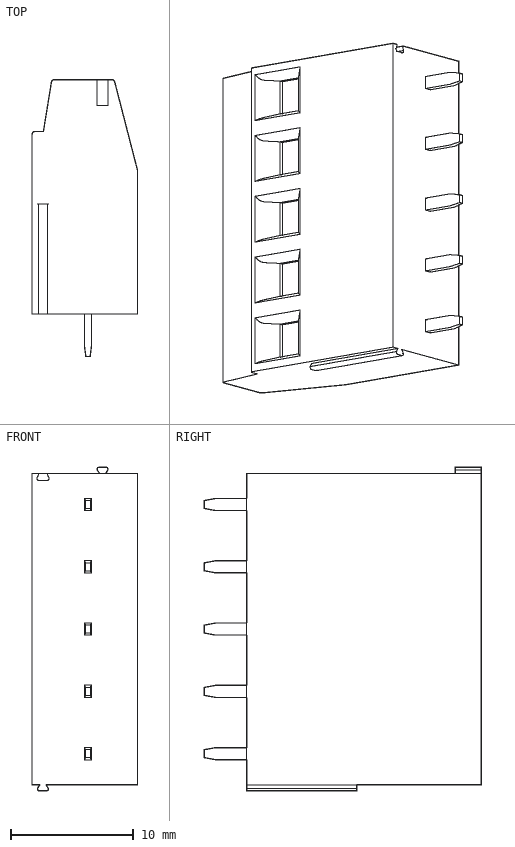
import cadquery as cq
import math

pole_count = 5
total_height = 26.4
rib_height = 0.5
body_height = total_height - 2 * rib_height
pole_pitch = body_height / pole_count

body_width = 8.6
body_length = 19.15
shoulder_y = 14.92
shoulder_x = 0.92
cap_left_x = 1.6
cap_right_x = 6.7
slope_start_y = 11.77
edge_radius = 0.26

pin_x = 4.57
pin_width = 0.6
pin_height = 1.0
pin_shaft_length = 2.53
pin_tip_length = 0.92
pin_tip_width = 0.37
pin_tip_height = 0.65
pin_root = 0.26

funnel_top_y = 14.4
funnel_bottom_y = 9.7
funnel_height = 3.83
funnel_depth = 1.21
recess_top_y = 12.78
recess_bottom_y = 10.85
recess_height = 2.75
recess_depth = 0.32
roof_flat_depth = 0.37
roof_radius = 0.48

rib_wide = 0.9
rib_neck = 0.53
rib_edge = 0.2
rib_radius = 0.15
top_rib_x = 5.75
top_rib_length = 2.15
bottom_rib_x = 0.9
bottom_rib_length = 9.0
groove_clearance = 0.08
lip_radius = 0.08


def make_housing():
    outline = [
        (0, 0),
        (body_width, 0),
        (body_width, slope_start_y),
        (cap_right_x, body_length),
        (cap_left_x, body_length),
        (shoulder_x, shoulder_y),
        (0, shoulder_y),
    ]
    housing = cq.Workplane("XY").polyline(outline).close().extrude(body_height)
    rounded_corners = [
        (cap_right_x, body_length),
        (cap_left_x, body_length),
        (0, shoulder_y),
    ]
    for x, y in rounded_corners:
        corner_edge = cq.selectors.NearestToPointSelector((x, y, body_height / 2))
        housing = housing.edges(corner_edge).fillet(edge_radius)
    return housing


def make_pin(center_z):
    shaft = cq.Workplane("XY").box(
        pin_width, pin_shaft_length + pin_root, pin_height, centered=(True, False, True)
    )
    shaft = shaft.translate((pin_x, -pin_shaft_length, center_z))
    tip = (
        cq.Workplane("XZ", origin=(pin_x, -pin_shaft_length, center_z))
        .rect(pin_width, pin_height)
        .workplane(offset=pin_tip_length)
        .rect(pin_tip_width, pin_tip_height)
        .loft(ruled=True)
    )
    return shaft.union(tip)


def make_funnel_section():
    """Funnel in the XY plane, with a rounded roof that runs into a tilted back wall."""
    roof_center = (roof_flat_depth, funnel_top_y - roof_radius)
    reach_x = funnel_depth - roof_center[0]
    reach_y = recess_top_y - roof_center[1]
    tangent_angle = math.atan2(reach_y, reach_x) + math.acos(roof_radius / math.hypot(reach_x, reach_y))
    middle_angle = (math.pi / 2 + tangent_angle) / 2

    def on_roof_arc(angle):
        return (
            roof_center[0] + roof_radius * math.cos(angle),
            roof_center[1] + roof_radius * math.sin(angle),
        )

    return (
        cq.Workplane("XY")
        .moveTo(0, funnel_bottom_y)
        .lineTo(0, funnel_top_y)
        .lineTo(roof_flat_depth, funnel_top_y)
        .threePointArc(on_roof_arc(middle_angle), on_roof_arc(tangent_angle))
        .lineTo(funnel_depth, recess_top_y)
        .lineTo(funnel_depth, recess_bottom_y)
        .close()
        .extrude(funnel_height / 2, both=True)
    )


def make_wire_entry(center_z):
    side_taper = [
        (0, -funnel_height / 2),
        (0, funnel_height / 2),
        (funnel_depth, recess_height / 2),
        (funnel_depth, -recess_height / 2),
    ]
    tapered_sides = cq.Workplane("XZ").polyline(side_taper).close().extrude(-body_length)
    recess = cq.Workplane("XY").box(
        funnel_depth + recess_depth - roof_flat_depth,
        recess_top_y - recess_bottom_y,
        recess_height,
        centered=(False, False, True),
    )
    recess = recess.translate((roof_flat_depth, recess_bottom_y, 0))
    entry = make_funnel_section().intersect(tapered_sides).union(recess)
    return entry.translate((0, 0, center_z))


def make_dovetail(center_x, base_z, start_y, length, clearance=0.0):
    """Dovetail bar along Y that stands on base_z, flares downwards and has a rounded end face."""
    half_neck = (rib_neck + clearance) / 2
    half_wide = (rib_wide + clearance) / 2
    height = rib_height + clearance
    section = [
        (-half_neck, 0),
        (-half_wide, rib_edge - height),
        (-half_wide, -height),
        (half_wide, -height),
        (half_wide, rib_edge - height),
        (half_neck, 0),
    ]
    bar = cq.Workplane("XZ").polyline(section).close().extrude(-length)
    bar = bar.faces("<Z").edges("|Y").fillet(rib_radius)
    return bar.translate((center_x, start_y, base_z))


def make_top_rib():
    rib_start_y = body_length - top_rib_length
    rib = make_dovetail(top_rib_x, 0, rib_start_y, top_rib_length)
    return rib.mirror("XY").translate((0, 0, body_height))


def cut_groove(block):
    """Groove in the top face for the bottom rib of the next block, with rounded lips."""
    groove = make_dovetail(bottom_rib_x, body_height, 0, bottom_rib_length, groove_clearance)
    block = block.cut(groove)
    half_neck = (rib_neck + groove_clearance) / 2
    for lip_x in (bottom_rib_x - half_neck, bottom_rib_x + half_neck):
        lip_edge = cq.selectors.NearestToPointSelector((lip_x, bottom_rib_length / 2, body_height))
        block = block.edges(lip_edge).fillet(lip_radius)
    return block


result = cut_groove(make_housing())
for pole in range(pole_count):
    pole_z = (pole + 0.5) * pole_pitch
    result = result.cut(make_wire_entry(pole_z)).union(make_pin(pole_z))

result = result.union(make_dovetail(bottom_rib_x, 0, 0, bottom_rib_length))
result = result.union(make_top_rib())